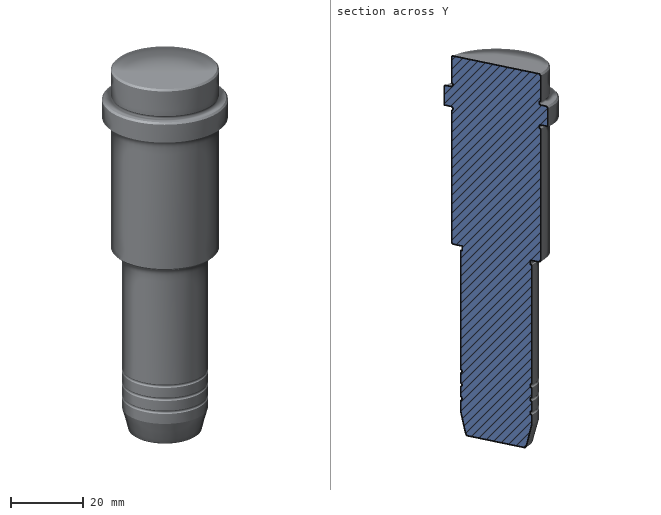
import cadquery as cq
import math

length = 110.0
head_radius = 15.02
flange_radius = 17.5
shank_radius = 12.0
edge = 0.5
groove_radius = 0.5
neck_depth = 0.5

flange_bottom = 95.0
flange_top = 101.0
body_bottom = 55.0
shank_top = 53.8

groove_pitch = 4.0
groove_count = 3
top_groove_center = 18.5

taper_height = 7.0
taper_angle = 15.0
tip_radius = shank_radius - taper_height * math.tan(math.radians(taper_angle))


def disc(radius, bottom, top):
    """Cylinder on the Z axis between two heights."""
    return cq.Workplane("XY").workplane(offset=bottom).circle(radius).extrude(top - bottom)


def groove_ring(radius, center):
    """Torus that cuts a half-round groove into a cylinder of the given radius."""
    section = cq.Workplane("XZ").center(radius, center).circle(groove_radius)
    return section.revolve(360, (-radius, 0), (-radius, 1))


upper = disc(head_radius, body_bottom, length).edges().chamfer(edge)
for center in (flange_top + groove_radius, flange_bottom - groove_radius):
    upper = upper.cut(groove_ring(head_radius, center))

flange = disc(flange_radius, flange_bottom, flange_top).faces(">Z").edges().chamfer(edge)

shank = disc(shank_radius, taper_height, shank_top)
for index in range(groove_count):
    shank = shank.cut(groove_ring(shank_radius, top_groove_center - index * groove_pitch))

neck = disc(shank_radius - neck_depth, shank_top, body_bottom)

tip = (
    cq.Workplane("XY")
    .circle(tip_radius)
    .workplane(offset=taper_height)
    .circle(shank_radius)
    .loft(ruled=True)
    .faces("<Z")
    .chamfer(edge)
)

result = upper.union(flange).union(neck).union(shank).union(tip)